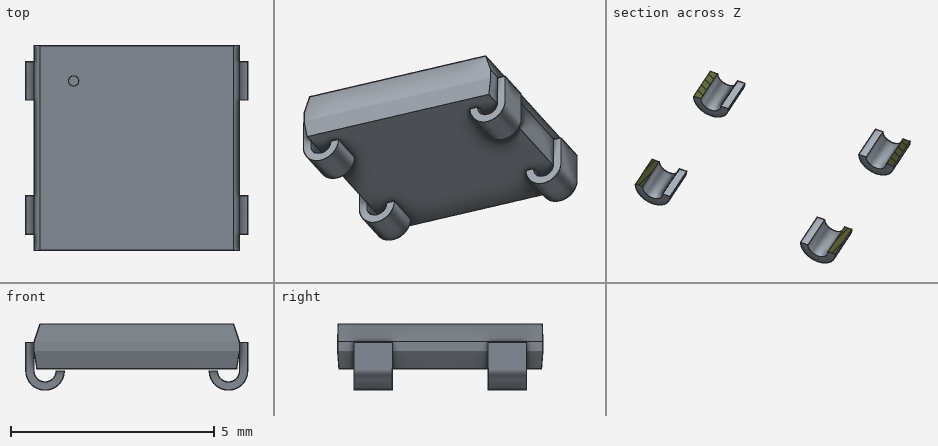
import cadquery as cq

overall_length = 5.46
overall_height = 1.63

housing_side = 5.05
housing_bottom_z = 0.525
belt_bottom_z = 0.955
belt_top_z = 1.195
top_length = 4.76
top_width = 5.025
bottom_length = 4.915
bottom_width = 4.985

lead_thickness = (overall_length - housing_side) / 2
lead_width = 0.95
lead_top_z = 1.175
bend_outer_radius = 0.475
bend_inner_radius = bend_outer_radius - lead_thickness
lead_offset_y = 1.65

marker_diameter = 0.25
marker_depth = 0.055
marker_x = -1.55
marker_y = 1.65


def tapered_block(low_z, low_size, high_z, high_size):
    """Block whose rectangular section changes evenly from low_z to high_z."""
    return (
        cq.Workplane("XY", origin=(0, 0, low_z))
        .rect(*low_size)
        .workplane(offset=high_z - low_z)
        .rect(*high_size)
        .loft(ruled=True, combine=True)
    )


def make_marker():
    """Disc that fills the shallow recess in the housing top."""
    return (
        cq.Workplane("XY", origin=(marker_x, marker_y, overall_height - marker_depth))
        .circle(marker_diameter / 2)
        .extrude(marker_depth)
    )


def make_housing(marker):
    """Belt and two tapers as one solid, with a recess for the marker."""
    belt_size = (housing_side, housing_side)
    lower = tapered_block(housing_bottom_z, (bottom_length, bottom_width), belt_bottom_z, belt_size)
    belt = tapered_block(belt_bottom_z, belt_size, belt_top_z, belt_size)
    upper = tapered_block(belt_top_z, belt_size, overall_height, (top_length, top_width))
    return lower.union(belt).union(upper).cut(marker)


def make_lead(side, center_y):
    """J lead on the -X (side = -1) or +X (side = 1) wall, curling in under the housing."""
    outer_x = side * overall_length / 2
    inner_x = side * housing_side / 2
    bend_x = outer_x - side * bend_outer_radius
    bend_z = bend_outer_radius
    tip_outer_x = bend_x - side * bend_outer_radius
    tip_inner_x = bend_x - side * bend_inner_radius
    return (
        cq.Workplane("XZ", origin=(0, center_y, 0))
        .moveTo(outer_x, lead_top_z)
        .lineTo(outer_x, bend_z)
        .threePointArc((bend_x, bend_z - bend_outer_radius), (tip_outer_x, bend_z))
        .lineTo(tip_inner_x, bend_z)
        .threePointArc((bend_x, bend_z - bend_inner_radius), (inner_x, bend_z))
        .lineTo(inner_x, lead_top_z)
        .close()
        .extrude(lead_width / 2, both=True)
    )


marker = make_marker()
housing = make_housing(marker)
leads = [
    make_lead(side, center_y).val()
    for side in (-1, 1)
    for center_y in (-lead_offset_y, lead_offset_y)
]

result = cq.Compound.makeCompound([housing.val(), marker.val(), *leads])